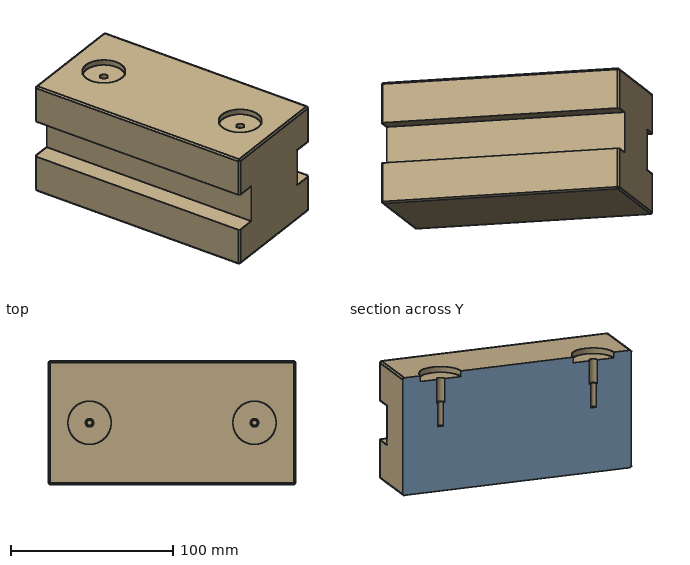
import cadquery as cq

length = 152.4
width = 76.2
height = 76.2
edge_chamfer = 1.0

groove_height = height / 3
groove_depth = width / 6

hole_spacing = length * 2 / 3
recess_diameter = 26.7
recess_depth = 3.7
bore_diameter = 5.0
bore_depth = 15.2
pilot_diameter = 3.4
pilot_depth = 15.2


def chamfered_block():
    """Block centred on the origin with all outer edges broken."""
    return cq.Workplane("XY").box(length, width, height).edges().chamfer(edge_chamfer)


def side_groove(side):
    """Cutter for the groove on the +Y (side = 1) or -Y (side = -1) face."""
    centre_y = side * (width - groove_depth) / 2
    return cq.Workplane("XY").box(length, groove_depth, groove_height).translate((0, centre_y, 0))


def top_drill(x, diameter, depth):
    """Cylinder going down from the top face at the given x."""
    return cq.Workplane("XY", origin=(x, 0, height / 2)).circle(diameter / 2).extrude(-depth)


result = chamfered_block()

for side in (-1, 1):
    result = result.cut(side_groove(side))

for x in (-hole_spacing / 2, hole_spacing / 2):
    result = result.cut(top_drill(x, recess_diameter, recess_depth))
    result = result.cut(top_drill(x, bore_diameter, recess_depth + bore_depth))
    result = result.cut(top_drill(x, pilot_diameter, recess_depth + bore_depth + pilot_depth))